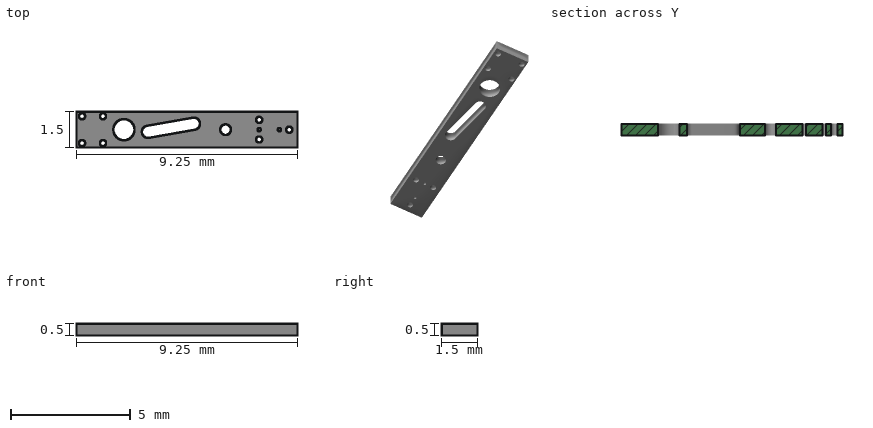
import cadquery as cq

PLATE_LENGTH = 9.25
PLATE_WIDTH = 1.5
PLATE_THICKNESS = 0.5

SMALL_HOLE_DIAMETER = 0.25
CORNER_INSET_X = 0.235
CORNER_PITCH_X = 0.875
CORNER_PITCH_Y = 1.125
TRIANGLE_BASE_X = 7.64
TRIANGLE_BASE_PITCH_Y = 0.82
TRIANGLE_TIP_X = 8.9

PIN_HOLE_DIAMETER = 0.125
PIN_HOLE_PITCH = 0.845

LARGE_HOLE_DIAMETER = 0.875
LARGE_HOLE_X = 1.985
MEDIUM_HOLE_DIAMETER = 0.4375
MEDIUM_HOLE_X = 6.235

SLOT_WIDTH = 0.5
SLOT_LENGTH = 2.45
SLOT_ANGLE = 10
SLOT_CENTRE = (3.95, 0.08)


def make_plate():
    """Plain rectangular plate resting on Z = 0."""
    return cq.Workplane("XY").box(
        PLATE_LENGTH, PLATE_WIDTH, PLATE_THICKNESS, centered=(False, True, False)
    )


def cut_round_holes(plate, centres, diameter):
    """Cut equal through holes at the given XY centres."""
    cutters = cq.Workplane("XY").pushPoints(centres).circle(diameter / 2).extrude(PLATE_THICKNESS)
    return plate.cut(cutters)


def cut_slot(plate):
    """Cut the sloping slot through the plate."""
    cutter = (
        cq.Workplane("XY")
        .center(*SLOT_CENTRE)
        .slot2D(SLOT_LENGTH, SLOT_WIDTH, SLOT_ANGLE)
        .extrude(PLATE_THICKNESS)
    )
    return plate.cut(cutter)


corner_centres = [
    (x, side * CORNER_PITCH_Y / 2)
    for x in (CORNER_INSET_X, CORNER_INSET_X + CORNER_PITCH_X)
    for side in (-1, 1)
]
triangle_centres = [
    (TRIANGLE_BASE_X, -TRIANGLE_BASE_PITCH_Y / 2),
    (TRIANGLE_BASE_X, TRIANGLE_BASE_PITCH_Y / 2),
    (TRIANGLE_TIP_X, 0),
]
pin_centres = [(TRIANGLE_BASE_X, 0), (TRIANGLE_BASE_X + PIN_HOLE_PITCH, 0)]

result = make_plate()
result = cut_round_holes(result, corner_centres + triangle_centres, SMALL_HOLE_DIAMETER)
result = cut_round_holes(result, pin_centres, PIN_HOLE_DIAMETER)
result = cut_round_holes(result, [(LARGE_HOLE_X, 0)], LARGE_HOLE_DIAMETER)
result = cut_round_holes(result, [(MEDIUM_HOLE_X, 0)], MEDIUM_HOLE_DIAMETER)
result = cut_slot(result)